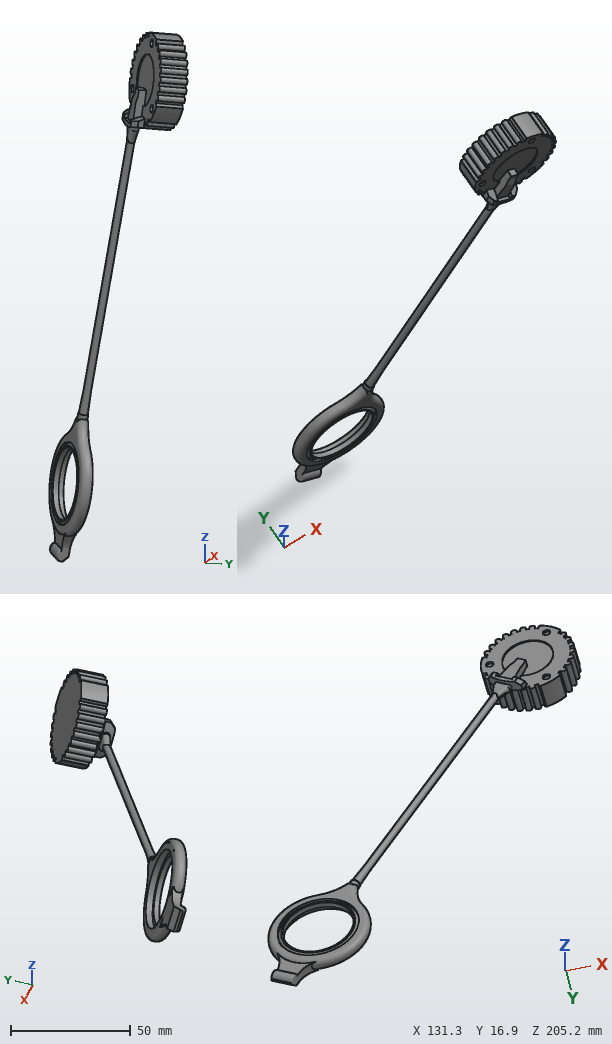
import cadquery as cq
import math

STRAP_TILT = 30.0

CAP_RADIUS = 20.2
CAP_HEIGHT = 11.9
CORE_RADIUS = 18.4
RIB_COUNT = 30
RIB_RADIUS = 1.3
PLAIN_SECTORS = (90.0, 210.0, 330.0)
PLAIN_HALF_ANGLE = 14.0
RECESS_RADIUS = 11.0
RECESS_DEPTH = 0.6
DIMPLE_RADIUS = 1.6
DIMPLE_DEPTH = 1.0
DIMPLE_CENTRE_RADIUS = 16.3

STRAP_RADIUS = 1.65
STRAP_Y = -1.65
STRAP_LENGTH = 178.2
STRAP_START_Z = -18.0

TONGUE_TIP_Z = -3.9
TONGUE_END_Z = -19.8
TONGUE_TIP_HALF_WIDTH = 2.0
TONGUE_END_HALF_WIDTH = 4.0
TONGUE_TIP_HEIGHT = 2.7
TONGUE_HEIGHT = 3.4
TONGUE_RAMP_START_Z = -6.5
TONGUE_RAMP_END_Z = -9.4
LUG_HEIGHT = 5.0
LUG_RAMP_START_Z = -14.6
LUG_RAMP_END_Z = -16.6
LUG_HALF_SPAN = 8.2
LUG_TOP_HALF_SPAN = 6.0
LUG_SIDE_HEIGHT = 2.6
LUG_BRIDGE_Z = -18.2

FLARE_TOP_Z = -19.0
FLARE_SHOULDER_Z = -21.4
FLARE_BOTTOM_Z = -27.5
FLARE_HALF_WIDTH = 4.0
FLARE_MIDDLE_HALF_WIDTH = 2.6
FLARE_EDGE_ROUND = 1.5

RING_RADIUS = 22.0
RING_THICKNESS = 5.4
RING_EDGE_ROUND = 2.3
RING_HOLE_RADIUS = 15.2
RING_LIP_RADIUS = 16.0
RING_GROOVE_RADIUS = 17.5
RING_GROOVE_DEPTH = 1.2
RING_COUNTERBORE_RADIUS = 17.0
RING_COUNTERBORE_DEPTH = 2.9
RING_Z = -STRAP_LENGTH
RING_BACK_Y = STRAP_Y + RING_THICKNESS / 2
RING_FRONT_Y = STRAP_Y - RING_THICKNESS / 2

NECK_ARC_RADIUS = 21.0
NECK_BLEND_ANGLE = 30.0
NECK_TOP = 29.2
NECK_CONE_START = 27.0
NECK_CONE_END = 41.6
NECK_CONE_RADIUS = 2.1
COLLAR_RADIUS = 2.2
COLLAR_TOP = 31.0

TAB_END = 32.66
TAB_HALF_WIDTH = 5.2
TAB_ROOT = 19.0
TAB_ROOT_HALF_WIDTH = 9.5
TAB_MIDDLE_HALF_WIDTH = 6.5
TAB_ROOT_Y = -3.8
TAB_WAIST = 26.4
TAB_WAIST_Y = -2.6
TAB_BAR_START = 27.2
TAB_CHAMFER = 2.4
TAB_EDGE_ROUND = 0.7


def front_plane(y):
    """Sketch plane at depth y whose extrusions run toward -Y."""
    return cq.Workplane("XZ", origin=(0, y, 0))


def side_plane(half_width):
    """Sketch plane (y, z) whose extrusions run toward +X from -half_width."""
    return cq.Workplane("YZ", origin=(-half_width, 0, 0))


def polar(radius, degrees):
    angle = math.radians(degrees)
    return radius * math.cos(angle), radius * math.sin(angle)


def make_cap():
    """Disc with rounded grip ribs, three plain rim stretches, a shallow recess and dimples."""
    blank = front_plane(CAP_HEIGHT).circle(CAP_RADIUS).extrude(CAP_HEIGHT)
    cap = front_plane(CAP_HEIGHT).circle(CORE_RADIUS).extrude(CAP_HEIGHT)
    rib_angles = [PLAIN_SECTORS[0] + rib * 360 / RIB_COUNT for rib in range(RIB_COUNT)]
    ribs = [polar(CAP_RADIUS - RIB_RADIUS, angle) for angle in rib_angles]
    cap = cap.union(front_plane(CAP_HEIGHT).pushPoints(ribs).circle(RIB_RADIUS).extrude(CAP_HEIGHT))
    wedge_radius = CAP_RADIUS / math.cos(math.radians(PLAIN_HALF_ANGLE)) + RIB_RADIUS
    for sector in PLAIN_SECTORS:
        wedge = (
            front_plane(CAP_HEIGHT)
            .moveTo(0, 0)
            .lineTo(*polar(wedge_radius, sector - PLAIN_HALF_ANGLE))
            .lineTo(*polar(wedge_radius, sector + PLAIN_HALF_ANGLE))
            .close()
            .extrude(CAP_HEIGHT)
        )
        cap = cap.union(blank.intersect(wedge))
    cap = cap.cut(front_plane(RECESS_DEPTH).circle(RECESS_RADIUS).extrude(RECESS_DEPTH))
    dimples = [polar(DIMPLE_CENTRE_RADIUS, sector) for sector in PLAIN_SECTORS]
    return cap.cut(front_plane(DIMPLE_DEPTH).pushPoints(dimples).circle(DIMPLE_RADIUS).extrude(DIMPLE_DEPTH))


def make_tongue():
    outline = (
        front_plane(RECESS_DEPTH)
        .moveTo(-TONGUE_TIP_HALF_WIDTH, TONGUE_TIP_Z)
        .lineTo(TONGUE_TIP_HALF_WIDTH, TONGUE_TIP_Z)
        .lineTo(TONGUE_END_HALF_WIDTH, TONGUE_END_Z)
        .lineTo(-TONGUE_END_HALF_WIDTH, TONGUE_END_Z)
        .close()
        .extrude(RECESS_DEPTH + TONGUE_HEIGHT)
    )
    profile = (
        side_plane(TONGUE_END_HALF_WIDTH)
        .moveTo(RECESS_DEPTH, TONGUE_TIP_Z)
        .lineTo(-TONGUE_TIP_HEIGHT, TONGUE_TIP_Z)
        .lineTo(-TONGUE_TIP_HEIGHT, TONGUE_RAMP_START_Z)
        .lineTo(-TONGUE_HEIGHT, TONGUE_RAMP_END_Z)
        .lineTo(-TONGUE_HEIGHT, TONGUE_END_Z)
        .lineTo(RECESS_DEPTH, TONGUE_END_Z)
        .close()
        .extrude(2 * TONGUE_END_HALF_WIDTH)
    )
    return outline.intersect(profile)


def make_lugs():
    wedge = (
        side_plane(LUG_HALF_SPAN)
        .moveTo(0, LUG_RAMP_START_Z)
        .lineTo(-LUG_HEIGHT, LUG_RAMP_END_Z)
        .lineTo(-LUG_HEIGHT, -CAP_RADIUS)
        .lineTo(0, -CAP_RADIUS)
        .close()
        .extrude(2 * LUG_HALF_SPAN)
    )
    rim = front_plane(0).circle(CAP_RADIUS).extrude(LUG_HEIGHT)
    sides = (
        cq.Workplane("XY", origin=(0, 0, -CAP_RADIUS))
        .moveTo(-LUG_HALF_SPAN, 0)
        .lineTo(-LUG_HALF_SPAN, -LUG_SIDE_HEIGHT)
        .lineTo(-LUG_TOP_HALF_SPAN, -LUG_HEIGHT)
        .lineTo(LUG_TOP_HALF_SPAN, -LUG_HEIGHT)
        .lineTo(LUG_HALF_SPAN, -LUG_SIDE_HEIGHT)
        .lineTo(LUG_HALF_SPAN, 0)
        .close()
        .extrude(CAP_RADIUS)
    )
    gap = (
        front_plane(0)
        .moveTo(-TONGUE_END_HALF_WIDTH, LUG_BRIDGE_Z)
        .lineTo(TONGUE_END_HALF_WIDTH, LUG_BRIDGE_Z)
        .lineTo(TONGUE_END_HALF_WIDTH, 0)
        .lineTo(-TONGUE_END_HALF_WIDTH, 0)
        .close()
        .extrude(LUG_HEIGHT)
    )
    return wedge.intersect(rim).intersect(sides).cut(gap)


def make_flare():
    middle_z = (FLARE_SHOULDER_Z + FLARE_BOTTOM_Z) / 2
    return (
        front_plane(STRAP_Y + STRAP_RADIUS)
        .moveTo(-FLARE_HALF_WIDTH, FLARE_TOP_Z)
        .lineTo(FLARE_HALF_WIDTH, FLARE_TOP_Z)
        .lineTo(FLARE_HALF_WIDTH, FLARE_SHOULDER_Z)
        .threePointArc((FLARE_MIDDLE_HALF_WIDTH, middle_z), (STRAP_RADIUS, FLARE_BOTTOM_Z))
        .lineTo(-STRAP_RADIUS, FLARE_BOTTOM_Z)
        .threePointArc((-FLARE_MIDDLE_HALF_WIDTH, middle_z), (-FLARE_HALF_WIDTH, FLARE_SHOULDER_Z))
        .close()
        .extrude(2 * STRAP_RADIUS)
        .faces("<Y or >Y")
        .edges()
        .fillet(FLARE_EDGE_ROUND)
    )


def make_strap():
    length = STRAP_LENGTH + STRAP_START_Z - NECK_CONE_START
    strap = cq.Solid.makeCylinder(
        STRAP_RADIUS, length, cq.Vector(0, STRAP_Y, STRAP_START_Z), cq.Vector(0, 0, -1)
    )
    cone = cq.Solid.makeCone(
        NECK_CONE_RADIUS,
        STRAP_RADIUS,
        NECK_CONE_END - NECK_CONE_START,
        cq.Vector(0, STRAP_Y, RING_Z + NECK_CONE_START),
        cq.Vector(0, 0, 1),
    )
    collar = cq.Solid.makeCylinder(
        COLLAR_RADIUS,
        COLLAR_TOP - NECK_CONE_START,
        cq.Vector(0, STRAP_Y, RING_Z + NECK_CONE_START),
        cq.Vector(0, 0, 1),
    )
    return cq.Workplane(strap).union(cq.Workplane(cone)).union(cq.Workplane(collar))


def make_ring():
    touch_x, touch_z = polar(RING_RADIUS, 90 - NECK_BLEND_ANGLE)
    centre_x, centre_z = polar(RING_RADIUS + NECK_ARC_RADIUS, 90 - NECK_BLEND_ANGLE)
    top_angle = math.asin((centre_z - NECK_TOP) / NECK_ARC_RADIUS)
    touch_angle = math.radians(90 - NECK_BLEND_ANGLE)
    middle_angle = (top_angle + touch_angle) / 2
    top_x = centre_x - NECK_ARC_RADIUS * math.cos(top_angle)
    middle_x = centre_x - NECK_ARC_RADIUS * math.cos(middle_angle)
    middle_z = centre_z - NECK_ARC_RADIUS * math.sin(middle_angle)
    return (
        cq.Workplane("XZ", origin=(0, RING_BACK_Y, RING_Z))
        .moveTo(-top_x, NECK_TOP)
        .lineTo(top_x, NECK_TOP)
        .threePointArc((middle_x, middle_z), (touch_x, touch_z))
        .threePointArc((0, -RING_RADIUS), (-touch_x, touch_z))
        .threePointArc((-middle_x, middle_z), (-top_x, NECK_TOP))
        .close()
        .extrude(RING_THICKNESS)
        .faces("<Y or >Y")
        .edges()
        .fillet(RING_EDGE_ROUND)
    )


def make_ring_opening():
    """Through hole with a counterbore at the back and a V-shaped groove at the front."""
    hole = (
        cq.Workplane("XZ", origin=(0, RING_BACK_Y, RING_Z))
        .circle(RING_HOLE_RADIUS)
        .extrude(RING_THICKNESS)
    )
    groove = (
        cq.Workplane("XY", origin=(0, 0, RING_Z))
        .moveTo(RING_LIP_RADIUS, RING_FRONT_Y)
        .lineTo(RING_GROOVE_RADIUS, RING_FRONT_Y)
        .lineTo(RING_GROOVE_RADIUS, RING_FRONT_Y + RING_GROOVE_DEPTH)
        .close()
        .revolve(360, (0, 0, 0), (0, 1, 0))
    )
    counterbore = (
        cq.Workplane("XZ", origin=(0, RING_BACK_Y, RING_Z))
        .circle(RING_COUNTERBORE_RADIUS)
        .extrude(RING_COUNTERBORE_DEPTH)
    )
    return hole.union(counterbore).union(groove)


def make_tab():
    middle_z = -(TAB_ROOT + TAB_WAIST) / 2
    bar_radius = (TAB_END - TAB_BAR_START) / 2
    profile = (
        cq.Workplane("YZ", origin=(-TAB_ROOT_HALF_WIDTH, 0, RING_Z))
        .moveTo(RING_BACK_Y, -TAB_ROOT)
        .lineTo(TAB_ROOT_Y, -TAB_ROOT)
        .lineTo(TAB_WAIST_Y, -TAB_WAIST)
        .lineTo(TAB_WAIST_Y, -TAB_BAR_START)
        .threePointArc((RING_FRONT_Y, -TAB_BAR_START - bar_radius), (TAB_WAIST_Y, -TAB_END))
        .lineTo(RING_BACK_Y - TAB_CHAMFER, -TAB_END)
        .lineTo(RING_BACK_Y, -TAB_END + TAB_CHAMFER)
        .close()
        .extrude(2 * TAB_ROOT_HALF_WIDTH)
    )
    outline = (
        cq.Workplane("XZ", origin=(0, RING_BACK_Y, RING_Z))
        .moveTo(-TAB_ROOT_HALF_WIDTH, -TAB_ROOT)
        .lineTo(TAB_ROOT_HALF_WIDTH, -TAB_ROOT)
        .threePointArc((TAB_MIDDLE_HALF_WIDTH, middle_z), (TAB_HALF_WIDTH, -TAB_WAIST))
        .lineTo(TAB_HALF_WIDTH, -TAB_END)
        .lineTo(-TAB_HALF_WIDTH, -TAB_END)
        .lineTo(-TAB_HALF_WIDTH, -TAB_WAIST)
        .threePointArc((-TAB_MIDDLE_HALF_WIDTH, middle_z), (-TAB_ROOT_HALF_WIDTH, -TAB_ROOT))
        .close()
        .extrude(RING_THICKNESS)
    )
    bar_box = cq.selectors.BoxSelector(
        (-TAB_ROOT_HALF_WIDTH, RING_FRONT_Y, RING_Z - TAB_END),
        (TAB_ROOT_HALF_WIDTH, TAB_WAIST_Y, RING_Z - TAB_BAR_START),
    )
    return profile.intersect(outline).edges("%CIRCLE").edges(bar_box).fillet(TAB_EDGE_ROUND)


body = make_cap()
for piece in (make_tongue(), make_lugs(), make_flare(), make_strap(), make_ring(), make_tab()):
    body = body.union(piece)
body = body.cut(make_ring_opening())

result = body.rotate((0, 0, 0), (0, 1, 0), STRAP_TILT)